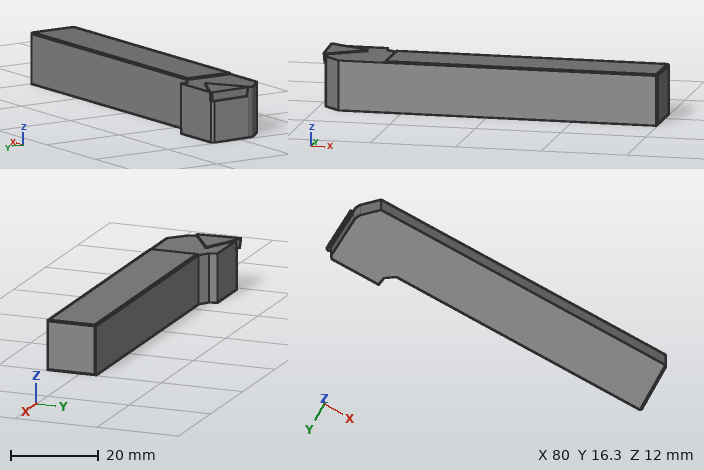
import cadquery as cq
import math

overall_length = 80.0
shank_width = 12.0
shank_height = 12.0
edge_chamfer = 0.3
shoulder_x = 16.0
head_top = shank_height - edge_chamfer
head_back_y = 15.5

front_corner_x = 5.4
bevel_end = (1.85, 3.4)
flank_start = (1.1, 5.3)
corner_bulge = 0.2
flank_end = (0.6, 15.0)
back_bevel = head_back_y - flank_end[1]

relief_top_x = 13.4
relief_bottom = (13.7, 13.6)

insert_top = 11.9
insert_thickness = 2.2
insert_overhang_y = 16.25
insert_side = 11.1
insert_tilt = 3.0
corner_flat = 0.4
clearance_angle = 4.0


def make_shank():
    """Bar with bevelled upper edges and a bevelled far end."""
    bar = cq.Workplane("XY").box(
        overall_length - shoulder_x, shank_width, shank_height, centered=False
    ).translate((shoulder_x, 0, 0))
    return bar.faces(">Z or >X").edges().chamfer(edge_chamfer)


def make_head():
    """Offset head, lower than the shank by the height of the sloped step."""
    middle = [(a + b) / 2 for a, b in zip(bevel_end, flank_start)]
    chord_x = flank_start[0] - bevel_end[0]
    chord_y = flank_start[1] - bevel_end[1]
    chord = math.hypot(chord_x, chord_y)
    arc_point = (
        middle[0] - corner_bulge * chord_y / chord,
        middle[1] + corner_bulge * chord_x / chord,
    )
    return (
        cq.Workplane("XY")
        .moveTo(shoulder_x, 0)
        .lineTo(front_corner_x, 0)
        .lineTo(*bevel_end)
        .threePointArc(arc_point, flank_start)
        .lineTo(*flank_end)
        .lineTo(flank_end[0] + back_bevel, head_back_y)
        .lineTo(relief_top_x, head_back_y)
        .lineTo(*relief_bottom)
        .lineTo(shoulder_x, shank_width)
        .close()
        .extrude(head_top)
    )


def blunted_triangle(side):
    """Corner points of an equilateral triangle about the origin with blunted tips."""
    radius = side / math.sqrt(3)
    corners = []
    for angle in (0, 120, 240):
        turn = math.radians(angle + insert_tilt)
        corners.append(cq.Vector(radius * math.cos(turn), radius * math.sin(turn), 0))
    points = []
    for i, corner in enumerate(corners):
        for neighbour in (corners[i - 1], corners[(i + 1) % 3]):
            points.append(corner + (neighbour - corner).normalized() * corner_flat)
    return [(point.x, point.y) for point in points]


def make_insert():
    top_points = blunted_triangle(insert_side)
    inset = insert_thickness * math.tan(math.radians(clearance_angle))
    bottom_points = blunted_triangle(insert_side - 2 * math.sqrt(3) * inset)
    centre_x = -min(x for x, y in top_points)
    centre_y = insert_overhang_y - max(y for x, y in top_points)
    return (
        cq.Workplane("XY", origin=(centre_x, centre_y, insert_top))
        .polyline(top_points).close()
        .workplane(offset=-insert_thickness)
        .polyline(bottom_points).close()
        .loft(ruled=True, combine=True)
    )


def make_holder(insert):
    """Head and shank in one piece, with a seat that matches the insert."""
    return make_shank().union(make_head()).cut(insert)


insert = make_insert()
holder = make_holder(insert)
result = cq.Compound.makeCompound([holder.val(), insert.val()])